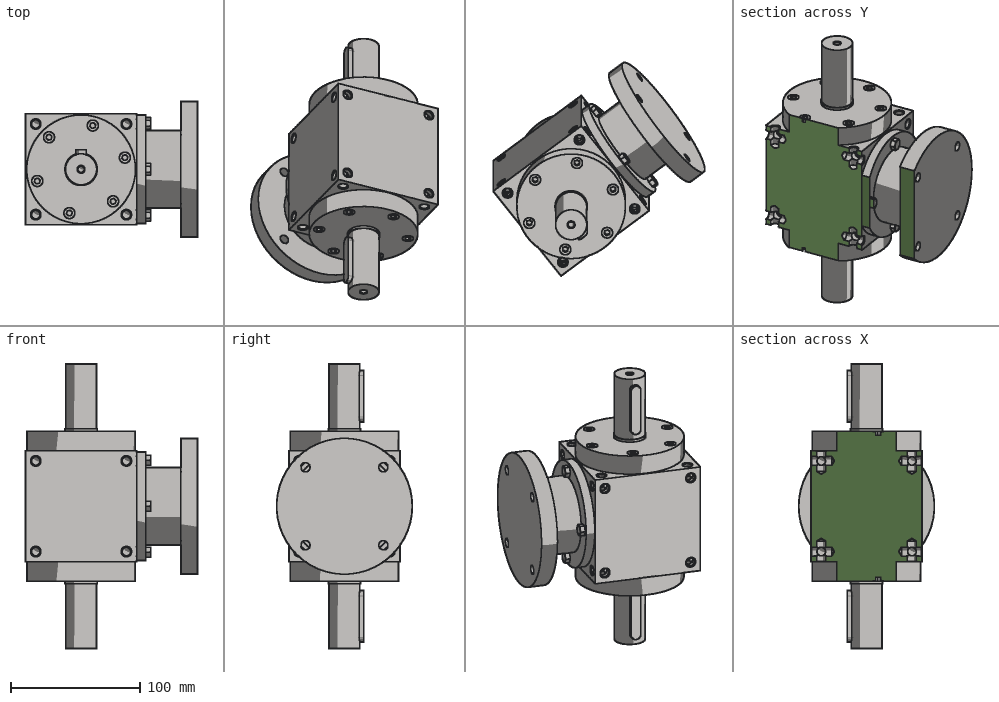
import cadquery as cq
import math

cube_size = 86.0
cover_dia = 84.0
cover_thickness = 15.0
cube_half = cube_size / 2
cover_face_z = cube_half + cover_thickness

shaft_dia = 24.0
seat_dia = 25.0
seat_height = 2.0
shaft_journal_length = 50.0
seat_end_z = cover_face_z + seat_height
shaft_end_z = seat_end_z + shaft_journal_length

key_width = 8.0
key_height = 7.0
key_length = 40.0
key_seat_depth = 4.0
key_bottom_y = shaft_dia / 2 - key_seat_depth
key_centre_z = seat_end_z + shaft_journal_length / 2

drill_tip_angle = 118.0
corner_thread_dia = 8.0
corner_core_dia = 6.65
corner_hole_depth = 16.0
corner_pitch = 70.0
centre_thread_dia = 6.0
centre_core_dia = 4.92
centre_hole_depth = 16.0

screw_count = 6
screw_circle_dia = 70.0
screw_first_angle = 15.0
screw_head_dia = 8.5
screw_recess_depth = 0.1
socket_across_flats = 4.0
socket_depth = 3.0

foot_dia = 84.0
foot_thickness = 7.0
neck_dia = 60.0
plate_dia = 105.0
plate_thickness = 13.0
flange_length = 47.0
plate_hole_dia = 7.0
plate_hole_circle_dia = 85.0
plate_hole_count = 4
plate_hole_first_angle = 45.0
foot_face_x = cube_half + foot_thickness
flange_end_x = cube_half + flange_length
plate_face_x = flange_end_x - plate_thickness

bolt_count = 4
bolt_circle_dia = 71.0
bolt_across_flats = 8.0
bolt_head_height = 4.0
bolt_end_circle_dia = 0.95 * bolt_across_flats
bolt_chamfer_angle = 30.0

origin = (0, 0, 0)
x_axis = (1, 0, 0)
y_axis = (0, 1, 0)
z_axis = (0, 0, 1)


def polar_points(count, circle_dia, first_angle):
    """Evenly spaced points on a circle."""
    points = []
    for i in range(count):
        angle = math.radians(first_angle + i * 360.0 / count)
        points.append((circle_dia / 2 * math.cos(angle), circle_dia / 2 * math.sin(angle)))
    return points


def hexagon_dia(across_flats):
    """Size across the corners of a hexagon."""
    return across_flats / math.cos(math.radians(30))


def threaded_hole(thread_dia, core_dia, depth):
    """Cutter that enters the XY plane going down, with a chamfered mouth and a drill tip."""
    core_radius = core_dia / 2
    chamfer = (thread_dia - core_dia) / 2
    tip_length = core_radius / math.tan(math.radians(drill_tip_angle / 2))
    return (
        cq.Workplane("XZ")
        .moveTo(0, 0)
        .lineTo(thread_dia / 2, 0)
        .lineTo(core_radius, -chamfer)
        .lineTo(core_radius, -depth)
        .lineTo(0, -depth - tip_length)
        .close()
        .revolve(360, origin, y_axis)
    )


def corner_holes():
    """Cutters for the four corner holes of the cube's top face."""
    half_pitch = corner_pitch / 2
    hole = threaded_hole(corner_thread_dia, corner_core_dia, corner_hole_depth)
    return [
        hole.translate((x, y, cube_half))
        for x in (-half_pitch, half_pitch)
        for y in (-half_pitch, half_pitch)
    ]


def cover_screws():
    """Cutters for the screw head recesses and hex sockets of the upper cover."""
    recess = cq.Workplane("XY").circle(screw_head_dia / 2).extrude(-screw_recess_depth)
    socket = (
        cq.Workplane("XY")
        .polygon(6, hexagon_dia(socket_across_flats))
        .extrude(-socket_depth)
        .rotate(origin, z_axis, screw_first_angle)
    )
    screw = recess.union(socket)
    points = polar_points(screw_count, screw_circle_dia, screw_first_angle)
    return [screw.translate((x, y, cover_face_z)) for x, y in points]


def make_key():
    """Key of the upper shaft end."""
    return (
        cq.Workplane("XZ", origin=(0, key_bottom_y, key_centre_z))
        .slot2D(key_length, key_width, 90)
        .extrude(-key_height)
    )


def both_ends(shape):
    """The upper shape and its mirror image below the XY plane."""
    return [shape, shape.mirror("XY")]


def make_gearbox():
    """Cube, covers and shaft in one solid."""
    body = cq.Workplane("XY").box(cube_size, cube_size, cube_size)
    for dia, end_z in ((cover_dia, cover_face_z), (seat_dia, seat_end_z), (shaft_dia, shaft_end_z)):
        body = body.union(cq.Workplane("XY").circle(dia / 2).extrude(end_z, both=True))

    face_turns = [(x_axis, turn) for turn in (0, 90, 180, 270)] + [(y_axis, turn) for turn in (90, -90)]
    for axis, turn in face_turns:
        for hole in corner_holes():
            body = body.cut(hole.rotate(origin, axis, turn))

    centre_hole = threaded_hole(centre_thread_dia, centre_core_dia, centre_hole_depth)
    centre_hole = centre_hole.translate((0, 0, shaft_end_z))
    for upper_cutter in [centre_hole, make_key(), *cover_screws()]:
        for cutter in both_ends(upper_cutter):
            body = body.cut(cutter)
    return body


def make_flange():
    """Motor flange with its ring of mounting holes."""
    foot = cq.Workplane("YZ", origin=(cube_half, 0, 0)).circle(foot_dia / 2).extrude(foot_thickness)
    neck = cq.Workplane("YZ", origin=(cube_half, 0, 0)).circle(neck_dia / 2).extrude(flange_length)
    holes = polar_points(plate_hole_count, plate_hole_circle_dia, plate_hole_first_angle)
    plate = (
        cq.Workplane("YZ", origin=(plate_face_x, 0, 0))
        .circle(plate_dia / 2)
        .pushPoints(holes)
        .circle(plate_hole_dia / 2)
        .extrude(plate_thickness)
    )
    return foot.union(neck).union(plate)


def make_bolt(y, z):
    """Hex bolt head on the flange foot, its outer corners rounded off by a cone."""
    corner_radius = hexagon_dia(bolt_across_flats) / 2
    end_radius = bolt_end_circle_dia / 2
    slope = math.tan(math.radians(bolt_chamfer_angle))
    corner_drop = (corner_radius - end_radius) * slope
    head = cq.Workplane("YZ").polygon(6, 2 * corner_radius).extrude(bolt_head_height)
    envelope = (
        cq.Workplane("XY")
        .moveTo(0, 0)
        .lineTo(0, corner_radius)
        .lineTo(bolt_head_height - corner_drop, corner_radius)
        .lineTo(bolt_head_height, end_radius)
        .lineTo(bolt_head_height, 0)
        .close()
        .revolve(360, origin, x_axis)
    )
    return head.intersect(envelope).translate((foot_face_x, y, z))


gearbox = make_gearbox()
flange = make_flange()
keys = both_ends(make_key())
bolts = [make_bolt(y, z) for y, z in polar_points(bolt_count, bolt_circle_dia, 0)]

result = cq.Compound.makeCompound(
    [gearbox.val(), flange.val(), *[key.val() for key in keys], *[bolt.val() for bolt in bolts]]
)